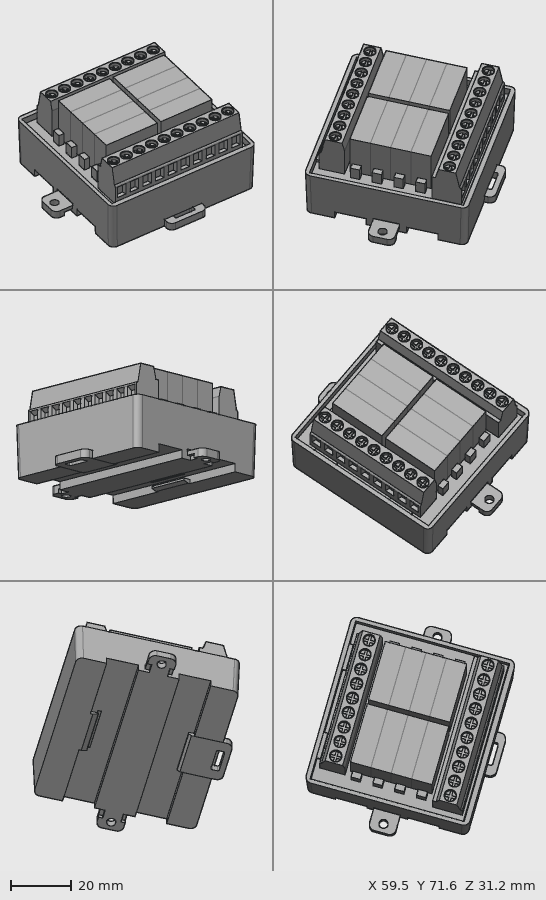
import cadquery as cq
import math

HOUSING_X = 56.4
HOUSING_Y = 58.15
HOUSING_HEIGHT = 18.1
WALL_LEAN = 0.4
CORNER_RADIUS = 2.15
FLOOR = 1.6
CAVITY_X_MIN = -26.6
CAVITY_Y = 55.4
RIM_FLARE = 0.4

CHANNEL_HEIGHT = 2.85
CHANNEL_X_MIN = -17.7
CHANNEL_X_MAX = 18.0
FOOT_X_MIN = -6.8
FOOT_X_MAX = 7.15

HOOK_TIP_X = -15.0
HOOK_TOP = 1.4
HOOK_NOSE = 0.7
HOOK_SLOPE_X = -16.9
RIDGE_X_MIN = -15.2
RIDGE_X_MAX = -13.95
RIDGE_DEPTH = 0.15

TAB_X = 0.1
TAB_WIDTH = 9.2
TAB_END_Y = 35.8
TAB_HOLE_Y = 32.8
TAB_HOLE_DIAMETER = 3.0
TAB_NOTCH_END_Y = 31.85
TAB_NOTCH_HEIGHT = 1.4
TAB_NOTCH_DEPTH = 1.4
TAB_RELIEF = 0.8

LUG_LENGTH = 9.0
LUG_Y = 15.55
LUG_TIP_X = -25.3
LUG_HEIGHT = 1.1

CLIP_WIDTH = 15.05
CLIP_Y = -0.15
CLIP_END_X = 31.3
CLIP_TIP_X = 16.0
CLIP_NOSE_TOP = 1.65
CLIP_NOSE = 0.7
CLIP_SLOPE_X = 16.9
CLIP_SLOT_X_MIN = 26.5
CLIP_SLOT_X_MAX = 29.35
CLIP_SLOT_LENGTH = 7.9
CLIP_SLOT_RADIUS = 0.6

BOARD_TOP = 15.75
BOARD_THICKNESS = 1.6
BOARD_X_MIN = -26.5
BOARD_X_MAX = 26.0
BOARD_Y = 55.05

RELAY_COUNT = 4
RELAY_PITCH = 7.0
RELAY_LENGTH = 20.5
RELAY_GAP = 1.4
RELAY_TOP = 31.2
RELAYS_X = -0.6

LED_PITCH = 7.5
LED_WIDTH = 3.2
LED_LENGTH = 2.1
LED_TOP = 20.25
LED_Y = 22.85
LEDS_X = -0.8

POLE_PITCH = 5.1
LEFT_POLES = 9
RIGHT_POLES = 10
LEFT_WIRE_FACE_X = -24.8
RIGHT_WIRE_FACE_X = 25.1
TERMINAL_TOP = 30.2
TERMINAL_NOSE_INSET = 0.65
TERMINAL_NOSE_TOP = 23.6
TERMINAL_NOSE_BULGE = 0.15
TERMINAL_NOSE_BOTTOM = 22.8
TERMINAL_TOP_START = 1.9
TERMINAL_TOP_END = 7.95
TERMINAL_BACK = 8.8
TERMINAL_BACK_Z = 26.7
LEDGE_START = 9.0
LEDGE_END = 10.25
LEDGE_Z = 26.0
ENTRY_TOP = TERMINAL_NOSE_BOTTOM
ENTRY_BOTTOM = 18.3
ENTRY_WIDTH = 3.4
ENTRY_DEPTH = 1.4
ENTRY_INNER_TOP = 21.4
ENTRY_INNER_WIDTH = 2.5
SCREW_INSET = 4.9
SCREW_DIAMETER = 4.1
SCREW_SINK = 1.4
SCREW_STEP_WIDTH = 0.15
SCREW_STEP_DEPTH = 0.2
SCREW_SLOT_WIDTH = 0.8
SCREW_SLOT_DEPTH = 0.6


def block(x_min, x_max, y_min, y_max, z_min, z_max):
    """Box between the given limits."""
    return (cq.Workplane("XY")
            .box(x_max - x_min, y_max - y_min, z_max - z_min, centered=False)
            .translate((x_min, y_min, z_min)))


def centred_positions(count, pitch):
    """Evenly spaced positions about zero."""
    return [(i - (count - 1) / 2) * pitch for i in range(count)]


def rounded_outline(size_x, size_y):
    """Round-cornered rectangle."""
    return cq.Sketch().rect(size_x, size_y).vertices().fillet(CORNER_RADIUS)


def housing_shell():
    """Leaning, round-cornered tub with a square-cornered cavity."""
    base = rounded_outline(HOUSING_X - 2 * WALL_LEAN, HOUSING_Y - 2 * WALL_LEAN)
    rim = rounded_outline(HOUSING_X, HOUSING_Y).moved(cq.Location(cq.Vector(0, 0, HOUSING_HEIGHT)))
    tub = cq.Workplane("XY").placeSketch(base, rim).loft(ruled=True)
    cavity = (cq.Workplane("XZ")
              .moveTo(CAVITY_X_MIN, CHANNEL_HEIGHT + FLOOR)
              .lineTo(BOARD_X_MAX, CHANNEL_HEIGHT + FLOOR)
              .lineTo(BOARD_X_MAX, BOARD_TOP)
              .lineTo(BOARD_X_MAX + RIM_FLARE, HOUSING_HEIGHT)
              .lineTo(CAVITY_X_MIN, HOUSING_HEIGHT)
              .close()
              .extrude(CAVITY_Y / 2, both=True))
    return tub.cut(cavity)


def rail_channels():
    """Two channels along Y, one on each side of the central foot."""
    half_y = HOUSING_Y / 2
    left = block(CHANNEL_X_MIN, FOOT_X_MIN, -half_y, half_y, 0, CHANNEL_HEIGHT)
    right = block(FOOT_X_MAX, CHANNEL_X_MAX, -half_y, half_y, 0, CHANNEL_HEIGHT)
    return left.union(right)


def clip_guide():
    """Guide in the base that the rail clip slides in."""
    return block(CHANNEL_X_MAX, HOUSING_X / 2, CLIP_Y - CLIP_WIDTH / 2, CLIP_Y + CLIP_WIDTH / 2,
                 0, CHANNEL_HEIGHT)


def rail_hook():
    """Fixed hook facing the clip, with the ridge on the channel roof."""
    hook = (cq.Workplane("XZ", origin=(0, CLIP_Y, 0))
            .moveTo(CHANNEL_X_MIN, 0)
            .lineTo(HOOK_SLOPE_X, 0)
            .lineTo(HOOK_TIP_X, HOOK_NOSE)
            .lineTo(HOOK_TIP_X, HOOK_TOP)
            .lineTo(CHANNEL_X_MIN, HOOK_TOP)
            .close()
            .extrude(CLIP_WIDTH / 2, both=True))
    ridge = block(RIDGE_X_MIN, RIDGE_X_MAX, CLIP_Y - CLIP_WIDTH / 2, CLIP_Y + CLIP_WIDTH / 2,
                  CHANNEL_HEIGHT - RIDGE_DEPTH, CHANNEL_HEIGHT)
    return hook.union(ridge)


def mounting_tab():
    """Screw tab on the -Y end, undercut beside the wall."""
    wall_y = HOUSING_Y / 2 - WALL_LEAN
    half_width = TAB_WIDTH / 2
    x_min = TAB_X - half_width
    x_max = TAB_X + half_width
    root_y = -wall_y + WALL_LEAN
    tab = (block(x_min, x_max, -TAB_END_Y, root_y, 0, CHANNEL_HEIGHT)
           .edges("|Z and <Y").fillet(CORNER_RADIUS))
    hole = (cq.Workplane("XY").center(TAB_X, -TAB_HOLE_Y)
            .circle(TAB_HOLE_DIAMETER / 2).extrude(CHANNEL_HEIGHT))
    left_notch = block(x_min, x_min + TAB_NOTCH_DEPTH, -TAB_NOTCH_END_Y, -wall_y, 0, TAB_NOTCH_HEIGHT)
    right_notch = block(x_max - TAB_NOTCH_DEPTH, x_max, -TAB_NOTCH_END_Y, -wall_y, 0, TAB_NOTCH_HEIGHT)
    return tab.cut(hole).cut(left_notch).cut(right_notch)


def tab_relief():
    """Wedge cut from the wall just above the -Y tab."""
    wall_y = -HOUSING_Y / 2 + WALL_LEAN
    return (cq.Workplane("YZ", origin=(TAB_X, 0, 0))
            .moveTo(wall_y + TAB_RELIEF, CHANNEL_HEIGHT)
            .lineTo(wall_y - TAB_RELIEF, CHANNEL_HEIGHT)
            .lineTo(wall_y - TAB_RELIEF, CHANNEL_HEIGHT + TAB_RELIEF)
            .lineTo(wall_y, CHANNEL_HEIGHT + TAB_RELIEF)
            .close()
            .extrude(TAB_WIDTH / 2, both=True))


def snap_lug(y):
    """Lug on the -X wall that reaches over the board."""
    return block(CAVITY_X_MIN, LUG_TIP_X, y - LUG_LENGTH / 2, y + LUG_LENGTH / 2,
                 BOARD_TOP, BOARD_TOP + LUG_HEIGHT)


def make_housing():
    body = housing_shell().cut(rail_channels()).cut(clip_guide()).union(rail_hook())
    tab = mounting_tab()
    relief = tab_relief()
    body = body.union(tab).union(tab.mirror("XZ"))
    body = body.cut(relief).cut(relief.mirror("XZ"))
    for y in (-LUG_Y, LUG_Y):
        body = body.union(snap_lug(y))
    return body


def make_rail_clip():
    """Sliding clip: a hooked plate with a pull slot at its outer end."""
    plate = (block(CHANNEL_X_MAX, CLIP_END_X, CLIP_Y - CLIP_WIDTH / 2, CLIP_Y + CLIP_WIDTH / 2,
                   0, CHANNEL_HEIGHT)
             .edges("|Z and >X").fillet(CORNER_RADIUS))
    nose = (cq.Workplane("XZ", origin=(0, CLIP_Y, 0))
            .moveTo(CHANNEL_X_MAX, 0)
            .lineTo(CLIP_SLOPE_X, 0)
            .lineTo(CLIP_TIP_X, CLIP_NOSE)
            .lineTo(CLIP_TIP_X, CLIP_NOSE_TOP)
            .lineTo(CHANNEL_X_MAX, CLIP_NOSE_TOP)
            .close()
            .extrude(CLIP_WIDTH / 2, both=True))
    slot = (block(CLIP_SLOT_X_MIN, CLIP_SLOT_X_MAX,
                  CLIP_Y - CLIP_SLOT_LENGTH / 2, CLIP_Y + CLIP_SLOT_LENGTH / 2, 0, CHANNEL_HEIGHT)
            .edges("|Z").fillet(CLIP_SLOT_RADIUS))
    return plate.union(nose).cut(slot)


def terminal_outline(has_ledge):
    """Cross-section on XZ: the wire entry face is at x = 0 and the body extends to +X."""
    outline = (cq.Workplane("XZ")
               .moveTo(0, BOARD_TOP)
               .lineTo(0, TERMINAL_NOSE_BOTTOM)
               .sagittaArc((TERMINAL_NOSE_INSET, TERMINAL_NOSE_TOP), TERMINAL_NOSE_BULGE)
               .lineTo(TERMINAL_TOP_START, TERMINAL_TOP)
               .lineTo(TERMINAL_TOP_END, TERMINAL_TOP))
    if has_ledge:
        outline = (outline.lineTo(LEDGE_START, LEDGE_Z)
                   .lineTo(LEDGE_END, LEDGE_Z)
                   .lineTo(LEDGE_END, BOARD_TOP))
    else:
        outline = (outline.lineTo(TERMINAL_BACK, TERMINAL_BACK_Z)
                   .lineTo(TERMINAL_BACK, BOARD_TOP))
    return outline.close()


def wire_entry(y):
    """Opening in the wire entry face with a flat floor and tapered sides and roof."""
    outer_height = ENTRY_TOP - ENTRY_BOTTOM
    inner_height = ENTRY_INNER_TOP - ENTRY_BOTTOM
    return (cq.Workplane("YZ", origin=(0, y, ENTRY_BOTTOM))
            .center(0, outer_height / 2).rect(ENTRY_WIDTH, outer_height)
            .workplane(offset=ENTRY_DEPTH)
            .center(0, (inner_height - outer_height) / 2).rect(ENTRY_INNER_WIDTH, inner_height)
            .loft())


def screw_recess(y):
    """Stepped round well with a cross-slotted screw head at its floor."""
    head_top = TERMINAL_TOP - SCREW_SINK
    slot_floor = head_top - SCREW_SLOT_DEPTH
    well_radius = SCREW_DIAMETER / 2 - SCREW_STEP_WIDTH
    mouth = (cq.Workplane("XY", origin=(SCREW_INSET, y, TERMINAL_TOP - SCREW_STEP_DEPTH))
             .circle(SCREW_DIAMETER / 2).extrude(SCREW_STEP_DEPTH))
    well = (cq.Workplane("XY", origin=(SCREW_INSET, y, head_top))
            .circle(well_radius).extrude(SCREW_SINK))
    slot_stock = (cq.Workplane("XY", origin=(SCREW_INSET, y, slot_floor))
                  .circle(well_radius).extrude(SCREW_SLOT_DEPTH))
    cross = (cq.Workplane("XY", origin=(SCREW_INSET, y, slot_floor))
             .rect(SCREW_DIAMETER, SCREW_SLOT_WIDTH).extrude(SCREW_SLOT_DEPTH)
             .union(cq.Workplane("XY", origin=(SCREW_INSET, y, slot_floor))
                    .rect(SCREW_SLOT_WIDTH, SCREW_DIAMETER).extrude(SCREW_SLOT_DEPTH)))
    return mouth.union(well).union(slot_stock.intersect(cross))


def terminal_block(poles, has_ledge):
    """Terminal block with its wire entry face at x = 0."""
    body = terminal_outline(has_ledge).extrude(poles * POLE_PITCH / 2, both=True)
    for y in centred_positions(poles, POLE_PITCH):
        body = body.cut(wire_entry(y)).cut(screw_recess(y))
    return body


def relay(x, row_side):
    """One relay; row_side is -1 or +1 for its row along Y."""
    y = row_side * (RELAY_GAP + RELAY_LENGTH) / 2
    return block(x - RELAY_PITCH / 2, x + RELAY_PITCH / 2, y - RELAY_LENGTH / 2, y + RELAY_LENGTH / 2,
                 BOARD_TOP, RELAY_TOP)


def indicator(x, row_side):
    """Indicator light at the outer end of a relay."""
    y = row_side * LED_Y
    return block(x - LED_WIDTH / 2, x + LED_WIDTH / 2, y - LED_LENGTH / 2, y + LED_LENGTH / 2,
                 BOARD_TOP, LED_TOP)


def make_circuit_board():
    """Board and its components as one solid."""
    board = block(BOARD_X_MIN, BOARD_X_MAX, -BOARD_Y / 2, BOARD_Y / 2,
                  BOARD_TOP - BOARD_THICKNESS, BOARD_TOP)
    left = terminal_block(LEFT_POLES, False).translate((LEFT_WIRE_FACE_X, 0, 0))
    right = (terminal_block(RIGHT_POLES, True)
             .mirror("YZ").translate((RIGHT_WIRE_FACE_X, 0, 0)))
    board = board.union(left).union(right)
    for row_side in (-1, 1):
        for x in centred_positions(RELAY_COUNT, LED_PITCH):
            board = board.union(indicator(LEDS_X + x, row_side))
    for row_side in (-1, 1):
        for x in centred_positions(RELAY_COUNT, RELAY_PITCH):
            board = board.union(relay(RELAYS_X + x, row_side), clean=False)
    return board


housing = make_housing()
rail_clip = make_rail_clip()
circuit_board = make_circuit_board()

result = cq.Compound.makeCompound([housing.val(), rail_clip.val(), circuit_board.val()])